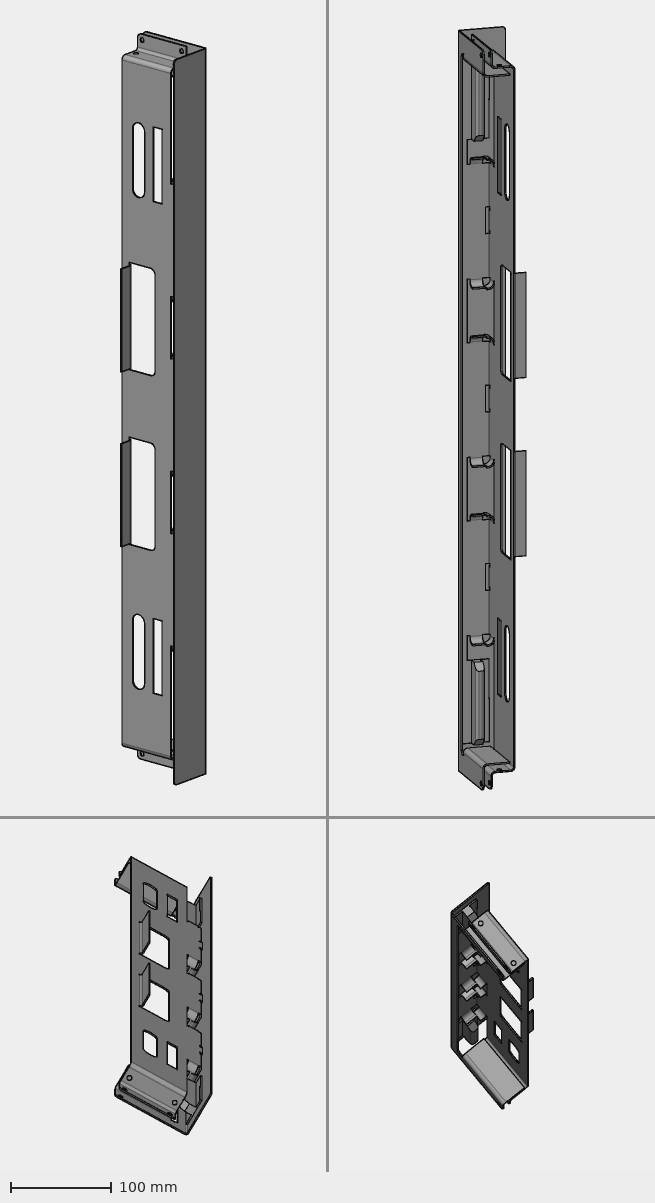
import cadquery as cq
import math

LENGTH = 762.0
WIDTH = 83.0
DEPTH = 49.5
HALF = LENGTH / 2

SHEET = 1.5
TIGHT_BEND = 1.0
SHELF_BEND = 3.0
LIP_BEND = 6.0
CORNER_RADIUS = 4.5
WALL_RADIUS = 3.0
HOLE_DIAMETER = 4.8
HOLE_INSET = 6.0
HOLE_DROP = 6.0

RAIL_BEND = 1.5
LIP_WIDTH = 11.5
EAR_HEIGHT = 20.0
EAR_CHAMFER = 7.0
EAR_FLAT_X = 68.0
RAIL_SHELF_DROP = 27.5
RAIL_SHELF_FRONT = 21.0
WALL_X = WIDTH - SHEET

PLATE_Y = 16.0
PLATE_BACK = PLATE_Y + SHEET
STEP_WIDTH = 64.0
SHELF_DROP = 17.5
SHELF_HOLE_Y = PLATE_Y + 14.5
PLATE_END = HALF - SHELF_DROP - SHELF_BEND - SHEET
TAB_Y = 40.0
FLANGE_BACK = DEPTH - SHEET - RAIL_BEND
FLANGE_HALF = 353.5
FLANGE_X = WALL_X - SHEET
TRAY_BEND_X = WALL_X - SHEET - TIGHT_BEND

PITCH = 184.0
OPENING_HALF = 33.0
OPENING_CLEAR = 24.5
OPENING_BACK = 40.5
PLATE_LIP = (65.5, 77.0)
PLATE_LIP_REACH = 8.5
FLANGE_LIP = (24.5, 37.0)
FLANGE_LIP_REACH = 10.0
TONGUE_LENGTH = 23.0
TONGUE_SLOT_LENGTH = 27.5
TONGUE_SLOT_Y = 21.0
RELIEF_DIAMETER = 2.05

PANEL_START = 268.0
RIB_Y = (27.0, 36.0)
RIB_X = 65.0
RIB_CHAMFER = 8.0
RIB_FILLET = 3.0

WINDOW_LEFT = 9.0
WINDOW_RIGHT = 43.5
WINDOW_HEIGHT = 113.0
WINDOW_RADIUS = 6.0
GUARD_HEIGHT = 108.0
GUARD_BEND = 2.0
GUARD_TIP = 1.0
SLOT_CENTRE_Z = 258.0
SLOT_LENGTH = 78.5
ROUND_SLOT = (14.0, 30.0)
SQUARE_SLOT = (41.0, 52.5)

SIDES = (-1, 1)
TOLERANCE = 7.62e-06


def block(x_range, y_range, z_range):
    """Box between the given limits."""
    (x0, x1), (y0, y1), (z0, z1) = sorted(x_range), sorted(y_range), sorted(z_range)
    return cq.Workplane("XY").box(x1 - x0, y1 - y0, z1 - z0, centered=False).translate((x0, y0, z0))


def direction(start, end):
    """Unit step from start toward end."""
    length = math.dist(start, end)
    return ((end[0] - start[0]) / length, (end[1] - start[1]) / length)


def moved(point, step, distance):
    return (point[0] + step[0] * distance, point[1] + step[1] * distance)


def folded_sheet(plane, start, corner, end, limits, inner_radius):
    """Right-angled sheet. The points lie on its outer face; limits are along the bend."""
    outer_radius = inner_radius + SHEET
    to_start = direction(corner, start)
    to_end = direction(corner, end)
    centre = moved(moved(corner, to_start, outer_radius), to_end, outer_radius)
    diagonal = direction(centre, corner)
    bend_start = moved(centre, to_end, -outer_radius)
    bend_end = moved(centre, to_start, -outer_radius)

    sheet = cq.Workplane(plane).workplane(offset=limits[0]).moveTo(*start)
    if math.dist(start, bend_start) > TOLERANCE:
        sheet = sheet.lineTo(*bend_start)
    sheet = sheet.threePointArc(moved(centre, diagonal, outer_radius), bend_end)
    if math.dist(end, bend_end) > TOLERANCE:
        sheet = sheet.lineTo(*end)
    sheet = sheet.lineTo(*moved(end, to_start, SHEET))
    if math.dist(end, bend_end) > TOLERANCE:
        sheet = sheet.lineTo(*moved(bend_end, to_start, SHEET))
    sheet = sheet.threePointArc(moved(centre, diagonal, inner_radius), moved(bend_start, to_end, SHEET))
    if math.dist(start, bend_start) > TOLERANCE:
        sheet = sheet.lineTo(*moved(start, to_end, SHEET))
    return sheet.close().extrude(limits[1] - limits[0])


def drill(body, plane, x, other, start, reach):
    """Cut one hole along the normal of the plane."""
    tool = cq.Workplane(plane).workplane(offset=start).center(x, other).circle(HOLE_DIAMETER / 2)
    return body.cut(tool.extrude(reach))


def make_ear(side):
    """Ear across the back of one end, with a shelf turned forward at its inner edge."""
    end = side * HALF
    ear_edge = side * (HALF - EAR_HEIGHT)
    shelf_z = side * (HALF - RAIL_SHELF_DROP)
    slope_x = EAR_FLAT_X + EAR_CHAMFER
    outline = [(0, end), (slope_x, end), (slope_x, ear_edge - side * EAR_CHAMFER),
               (EAR_FLAT_X, ear_edge), (0, ear_edge)]
    ear = cq.Workplane("XZ").polyline(outline).close().extrude(SHEET).translate((0, DEPTH, 0))
    ear = ear.edges("|Y").edges(cq.NearestToPointSelector((0, DEPTH, end))).fillet(CORNER_RADIUS)
    shelf = folded_sheet("YZ", (DEPTH, ear_edge), (DEPTH, shelf_z), (RAIL_SHELF_FRONT, shelf_z),
                         (0, STEP_WIDTH), SHELF_BEND)
    return drill(ear.union(shelf), "XZ", HOLE_INSET, side * (HALF - HOLE_DROP), -DEPTH, SHEET)


def make_rail():
    rail = folded_sheet("XY", (WIDTH - LIP_WIDTH, DEPTH), (WIDTH, DEPTH), (WIDTH, 0),
                        (-HALF, HALF), RAIL_BEND)
    rail = rail.edges("|X and <Y").fillet(WALL_RADIUS)
    for side in SIDES:
        rail = rail.union(make_ear(side))
    return rail


def cut_corner_openings(tray):
    for centre in (-1.5 * PITCH, -PITCH / 2, PITCH / 2, 1.5 * PITCH):
        tray = tray.cut(block((STEP_WIDTH, WALL_X), (PLATE_Y, OPENING_BACK),
                              (centre - OPENING_HALF, centre + OPENING_HALF)))
    return tray


def fit_end_panels(tray):
    """Free the flange from the plate beside the stepped ends, leaving a flat panel."""
    for side in SIDES:
        tray = tray.cut(block((STEP_WIDTH, WALL_X), (PLATE_Y, PLATE_BACK),
                              (side * 1.5 * PITCH, side * HALF)))
        tray = tray.union(block((FLANGE_X, WALL_X), (PLATE_BACK, FLANGE_BACK),
                                (side * PANEL_START, side * FLANGE_HALF)))
    return tray


def make_rib(side):
    """Rounded rib with sloping ends, standing on the flange panel."""
    low, high = side * PANEL_START, side * FLANGE_HALF
    slope = side * RIB_CHAMFER
    outline = [(FLANGE_X, low), (RIB_X + RIB_CHAMFER, low), (RIB_X, low + slope),
               (RIB_X, high - slope), (RIB_X + RIB_CHAMFER, high), (FLANGE_X, high)]
    rib = cq.Workplane("XZ").polyline(outline).close().extrude(RIB_Y[0] - RIB_Y[1])
    return rib.edges("|Z and <X").fillet(RIB_FILLET).translate((0, RIB_Y[0], 0))


def add_opening_lips(tray):
    """Lips turned in from the plate and from the flange at the ends of the openings."""
    ends = [(centre * PITCH, side) for centre in (-0.5, 0.5) for side in SIDES]
    ends += [(1.5 * PITCH, -1), (-1.5 * PITCH, 1)]
    for centre, side in ends:
        root = centre + side * OPENING_HALF
        edge = centre + side * OPENING_CLEAR
        tray = tray.union(folded_sheet("YZ", (PLATE_Y, root), (PLATE_Y, edge),
                                       (PLATE_Y + PLATE_LIP_REACH, edge), PLATE_LIP, LIP_BEND))
        low, high = FLANGE_LIP
        tray = tray.union(folded_sheet("XZ", (WALL_X, root), (WALL_X, edge),
                                       (WALL_X - FLANGE_LIP_REACH, edge), (-high, -low), LIP_BEND))
    return tray


def add_weld_tongues(tray):
    """Flat tongues that reach the rail, each between two round bend reliefs."""
    for centre in (-PITCH, 0, PITCH):
        span = (centre - TONGUE_LENGTH / 2, centre + TONGUE_LENGTH / 2)
        slot = (centre - TONGUE_SLOT_LENGTH / 2, centre + TONGUE_SLOT_LENGTH / 2)
        tray = tray.cut(block((TRAY_BEND_X, WALL_X), (PLATE_Y, TONGUE_SLOT_Y), slot))
        tray = tray.union(block((TRAY_BEND_X, WALL_X), (PLATE_Y, PLATE_BACK), span))
        for end in span:
            relief = cq.Workplane("XZ").center(TRAY_BEND_X, end).circle(RELIEF_DIAMETER / 2)
            tray = tray.cut(relief.extrude(-PLATE_BACK))
    return tray


def add_mounting_steps(tray):
    for side in SIDES:
        shelf_z = side * (HALF - SHELF_DROP)
        shelf_under = shelf_z - side * SHEET
        middle = (PLATE_Y + TAB_Y) / 2
        front = folded_sheet("YZ", (PLATE_Y, side * PLATE_END), (PLATE_Y, shelf_z),
                             (middle, shelf_z), (0, STEP_WIDTH), SHELF_BEND)
        tab_back = TAB_Y + SHEET
        back = folded_sheet("YZ", (middle, shelf_under), (tab_back, shelf_under),
                            (tab_back, side * HALF), (0, STEP_WIDTH), SHELF_BEND)
        tab_corner = cq.NearestToPointSelector((0, TAB_Y, side * HALF))
        back = back.edges("|Y").edges(tab_corner).fillet(CORNER_RADIUS)
        tray = tray.union(front).union(back)
        for x in (HOLE_INSET, STEP_WIDTH - HOLE_INSET):
            tray = drill(tray, "XZ", x, side * (HALF - HOLE_DROP), -tab_back, SHEET)
            tray = drill(tray, "XY", x, SHELF_HOLE_Y, min(shelf_z, shelf_under), SHEET)
    return tray


def add_guarded_window(tray, centre):
    """Window whose left edge carries a guard turned toward the front."""
    half = WINDOW_HEIGHT / 2
    opening = block((WINDOW_LEFT, WINDOW_RIGHT), (PLATE_Y, PLATE_BACK), (centre - half, centre + half))
    tray = tray.cut(opening.edges("|Y and >X").fillet(WINDOW_RADIUS))
    guard_x = WINDOW_LEFT + GUARD_BEND + SHEET
    guard = folded_sheet("XY", (WINDOW_LEFT, PLATE_BACK), (guard_x, PLATE_BACK), (guard_x, GUARD_TIP),
                         (centre - GUARD_HEIGHT / 2, centre + GUARD_HEIGHT / 2), GUARD_BEND)
    return tray.union(guard)


def cut_plate_slots(tray, centre):
    span = (centre - SLOT_LENGTH / 2, centre + SLOT_LENGTH / 2)
    thickness = (PLATE_Y, PLATE_BACK)
    left, right = ROUND_SLOT
    rounded = cq.Workplane("XZ").center((left + right) / 2, centre)
    rounded = rounded.slot2D(SLOT_LENGTH, right - left, 90).extrude(-PLATE_BACK)
    return tray.cut(rounded).cut(block(SQUARE_SLOT, thickness, span))


def make_tray():
    tray = folded_sheet("XY", (0, PLATE_Y), (WALL_X, PLATE_Y), (WALL_X, FLANGE_BACK),
                        (-FLANGE_HALF, FLANGE_HALF), TIGHT_BEND)
    tray = tray.union(block((0, STEP_WIDTH), (PLATE_Y, PLATE_BACK), (-PLATE_END, PLATE_END)))
    tray = cut_corner_openings(tray)
    tray = fit_end_panels(tray)
    tray = add_opening_lips(tray)
    tray = add_weld_tongues(tray)
    tray = add_mounting_steps(tray)
    for side in SIDES:
        tray = tray.union(make_rib(side))
        tray = add_guarded_window(tray, side * PITCH / 2)
        tray = cut_plate_slots(tray, side * SLOT_CENTRE_Z)
    return tray


rail = make_rail()
tray = make_tray()

result = cq.Compound.makeCompound([rail.val(), tray.val()])